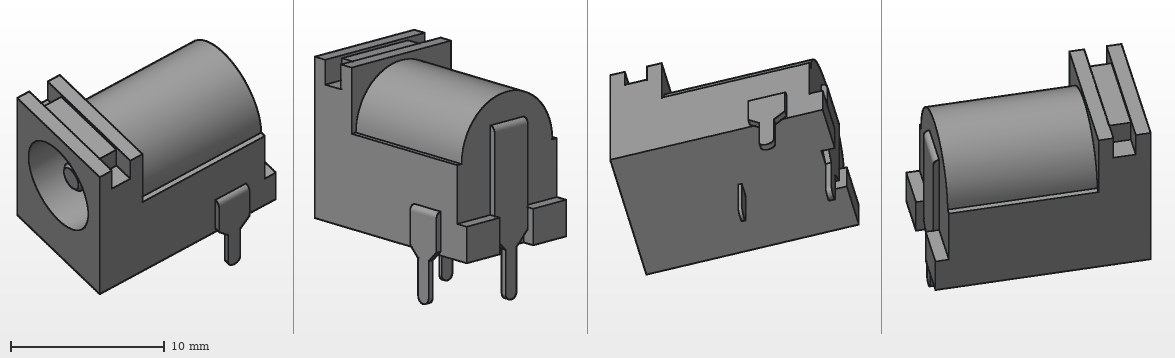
import cadquery as cq


width = 9.0
depth = 14.4
height = 11.0
step_depth = 0.9
step_height = 2.5
front_depth = 3.5
notch_width = 3.0
barrel_end = depth - step_depth

axis_z = 6.5
barrel_radius = 4.1
bore_radius = 3.25
bore_depth = 12.5
pin_radius = 1.0
pin_setback = 1.05
pin_chamfer = 0.2

groove_start = 1.0
groove_width = 1.5
groove_depth = 1.7
rib_width = 6.0
rib_drop = 0.2

leg_width = 1.0
leg_length = 3.5
plate_thickness = 0.39
front_leg_thickness = 0.25
front_leg_y = 7.58
rear_plate_top = 8.6
side_plate_width = 2.5
side_plate_top = 3.0
side_plate_y = 10.7
side_taper_end = -0.46
rear_taper_end = 0.0


def box(x_size, y_start, y_end, z_start, z_end):
    """Block centred on X = 0."""
    return cq.Workplane("XY").box(
        x_size, y_end - y_start, z_end - z_start, centered=(True, False, False)
    ).translate((0, y_start, z_start))


def cylinder(radius, y_start, y_end):
    """Cylinder on the socket axis."""
    return cq.Workplane("XZ", origin=(0, y_start, axis_z)).circle(radius).extrude(y_start - y_end)


def leg(thickness, top):
    """Round-ended leg centred on X = 0, occupying Y = 0 to thickness."""
    half = leg_width / 2
    return (
        cq.Workplane("XZ")
        .moveTo(half, top)
        .lineTo(half, half - leg_length)
        .threePointArc((0, -leg_length), (-half, half - leg_length))
        .lineTo(-half, top)
        .close()
        .extrude(-thickness)
    )


def plate_contact(plate_width, top, taper_end):
    """Plate narrowing at 45 degrees to a leg; its outer (+Y) top edge is rounded."""
    half_plate = plate_width / 2
    half_leg = leg_width / 2
    taper_start = taper_end + half_plate - half_leg
    plate = (
        cq.Workplane("XZ")
        .polyline([
            (-half_leg, taper_end),
            (half_leg, taper_end),
            (half_plate, taper_start),
            (half_plate, top),
            (-half_plate, top),
            (-half_plate, taper_start),
        ])
        .close()
        .extrude(-plate_thickness)
    )
    bend_z = top - plate_thickness
    bend = (
        cq.Workplane("YZ", origin=(-half_plate, 0, 0))
        .moveTo(0, bend_z)
        .lineTo(plate_thickness, bend_z)
        .radiusArc((0, top), -plate_thickness)
        .close()
        .extrude(plate_width)
    )
    below_bend = box(plate_width, 0, plate_thickness, taper_end, bend_z)
    return plate.intersect(below_bend.union(bend)).union(leg(plate_thickness, taper_end))


def housing():
    body = box(width, 0, depth, 0, step_height)
    body = body.union(box(width, 0, barrel_end, 0, axis_z))
    body = body.union(box(width, 0, front_depth, 0, height))
    body = body.union(cylinder(barrel_radius, 0, barrel_end))
    body = body.cut(box(notch_width, barrel_end, depth, 0, step_height))

    groove_end = groove_start + groove_width
    groove_floor = height - groove_depth
    body = body.cut(box(width, groove_start, groove_end, groove_floor, height))
    body = body.union(box(rib_width, groove_start, groove_end, groove_floor, height - rib_drop))
    return body.cut(cylinder(bore_radius, 0, bore_depth))


def centre_pin():
    return cylinder(pin_radius, pin_setback, bore_depth).faces("<Y").chamfer(pin_chamfer)


rear_contact = plate_contact(notch_width, rear_plate_top, rear_taper_end).translate((0, barrel_end, 0))
side_contact = (
    plate_contact(side_plate_width, side_plate_top, side_taper_end)
    .rotate((0, 0, 0), (0, 0, 1), -90)
    .translate((width / 2, side_plate_y, 0))
)
front_leg = leg(front_leg_thickness, 0).translate((0, front_leg_y, 0))

result = (
    housing()
    .union(centre_pin())
    .union(rear_contact)
    .union(side_contact)
    .union(front_leg)
)